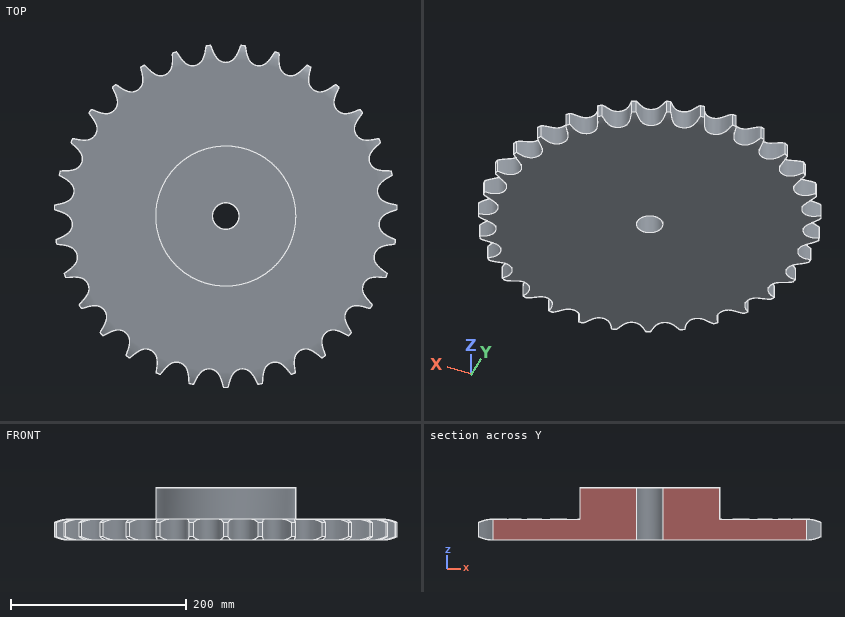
import cadquery as cq
import math

TOOTH_COUNT = 31
CHAIN_PITCH = 38.1
ROLLER_DIAMETER = 25.4
OUTSIDE_DIAMETER = 391.6
TOOTH_WIDTH = 24.1
TOTAL_HEIGHT = 60.0
HUB_DIAMETER = 160.0
BORE_DIAMETER = 30.0

SIDE_RELIEF_RADIUS = CHAIN_PITCH
SIDE_RELIEF_DEPTH = 4.0

PITCH_RADIUS = CHAIN_PITCH / 2 / math.sin(math.pi / TOOTH_COUNT)
SEAT_CLEARANCE = 0.04
SEAT_RADIUS = 0.5025 * ROLLER_DIAMETER + SEAT_CLEARANCE
WORKING_CENTRE_OFFSET = 0.8 * ROLLER_DIAMETER
WORKING_RADIUS = SEAT_RADIUS + WORKING_CENTRE_OFFSET
SEAT_END_ANGLE = 35 + 60 / TOOTH_COUNT
WORKING_SWEEP = 18 - 56 / TOOTH_COUNT
TOPPING_ANGLE = 17 - 64 / TOOTH_COUNT
TOPPING_SWEEP = 15.0
TOPPING_CENTRE_OFFSET = 1.4 * ROLLER_DIAMETER
FLAT_LENGTH = (
    TOPPING_CENTRE_OFFSET * math.sin(math.radians(TOPPING_ANGLE))
    - WORKING_CENTRE_OFFSET * math.sin(math.radians(WORKING_SWEEP))
)
TOPPING_RADIUS = (
    WORKING_CENTRE_OFFSET * math.cos(math.radians(WORKING_SWEEP))
    + TOPPING_CENTRE_OFFSET * math.cos(math.radians(TOPPING_ANGLE))
    - WORKING_RADIUS
)


def polar(centre, radius, degrees):
    """Point at a distance and direction from a centre."""
    angle = math.radians(degrees)
    return (centre[0] + radius * math.cos(angle), centre[1] + radius * math.sin(angle))


def mirrored(point):
    """Reflection of a point in the gap's centre line (the Y axis)."""
    return (-point[0], point[1])


def make_blank():
    """Disc with rounded rim sides, revolved about Z."""
    tip_radius = OUTSIDE_DIAMETER / 2
    arc_centre_height = SIDE_RELIEF_RADIUS - SIDE_RELIEF_DEPTH
    relief_length = math.sqrt(SIDE_RELIEF_RADIUS**2 - arc_centre_height**2)
    face_radius = tip_radius - relief_length
    half_sweep = math.degrees(math.asin(relief_length / SIDE_RELIEF_RADIUS)) / 2
    lower_middle = polar((face_radius, SIDE_RELIEF_RADIUS), SIDE_RELIEF_RADIUS, half_sweep - 90)
    upper_middle = (lower_middle[0], TOOTH_WIDTH - lower_middle[1])
    return (
        cq.Workplane("XZ")
        .lineTo(face_radius, 0)
        .threePointArc(lower_middle, (tip_radius, SIDE_RELIEF_DEPTH))
        .lineTo(tip_radius, TOOTH_WIDTH - SIDE_RELIEF_DEPTH)
        .threePointArc(upper_middle, (face_radius, TOOTH_WIDTH))
        .lineTo(0, TOOTH_WIDTH)
        .close()
        .revolve(360, (0, 0), (0, 1))
    )


def make_gap():
    """Cutter for one tooth gap, centred on +Y and reaching past the tooth tips.

    The two halves of the seat stay separate faces that meet at the root.
    """
    roller_centre = (0, PITCH_RADIUS)
    root = polar(roller_centre, SEAT_RADIUS, -90)

    seat_end_direction = -SEAT_END_ANGLE
    seat_middle = polar(roller_centre, SEAT_RADIUS, (seat_end_direction - 90) / 2)
    seat_end = polar(roller_centre, SEAT_RADIUS, seat_end_direction)

    working_end_direction = seat_end_direction + WORKING_SWEEP
    working_centre = polar(roller_centre, WORKING_CENTRE_OFFSET, seat_end_direction + 180)
    working_middle = polar(working_centre, WORKING_RADIUS, seat_end_direction + WORKING_SWEEP / 2)
    working_end = polar(working_centre, WORKING_RADIUS, working_end_direction)

    flat_end = polar(working_end, FLAT_LENGTH, working_end_direction + 90)
    topping_centre = polar(flat_end, TOPPING_RADIUS, working_end_direction)
    topping_start_direction = working_end_direction + 180
    topping_middle = polar(topping_centre, TOPPING_RADIUS, topping_start_direction - TOPPING_SWEEP / 2)
    topping_end = polar(topping_centre, TOPPING_RADIUS, topping_start_direction - TOPPING_SWEEP)

    return (
        cq.Workplane("XY")
        .moveTo(*root)
        .threePointArc(seat_middle, seat_end)
        .threePointArc(working_middle, working_end)
        .lineTo(*flat_end)
        .threePointArc(topping_middle, topping_end)
        .lineTo(*mirrored(topping_end))
        .threePointArc(mirrored(topping_middle), mirrored(flat_end))
        .lineTo(*mirrored(working_end))
        .threePointArc(mirrored(working_middle), mirrored(seat_end))
        .threePointArc(mirrored(seat_middle), root)
        .close()
        .extrude(TOOTH_WIDTH, clean=False)
    )


def cut_teeth(blank):
    """Cut evenly spaced gaps, the first one on +Y, so that one tooth points to -Y."""
    gap = make_gap()
    toothed = blank
    for index in range(TOOTH_COUNT):
        turned_gap = gap.rotate((0, 0, 0), (0, 0, 1), index * 360 / TOOTH_COUNT)
        toothed = toothed.cut(turned_gap, clean=False)
    return toothed


def add_hub(body):
    """Round hub standing on the upper face of the disc."""
    hub_height = TOTAL_HEIGHT - TOOTH_WIDTH
    hub = cq.Workplane("XY", origin=(0, 0, TOOTH_WIDTH)).circle(HUB_DIAMETER / 2).extrude(hub_height)
    return body.union(hub, clean=False)


def cut_bore(body):
    """Plain bore through disc and hub."""
    bore = cq.Workplane("XY").circle(BORE_DIAMETER / 2).extrude(TOTAL_HEIGHT)
    return body.cut(bore, clean=False)


result = cut_bore(add_hub(cut_teeth(make_blank())))